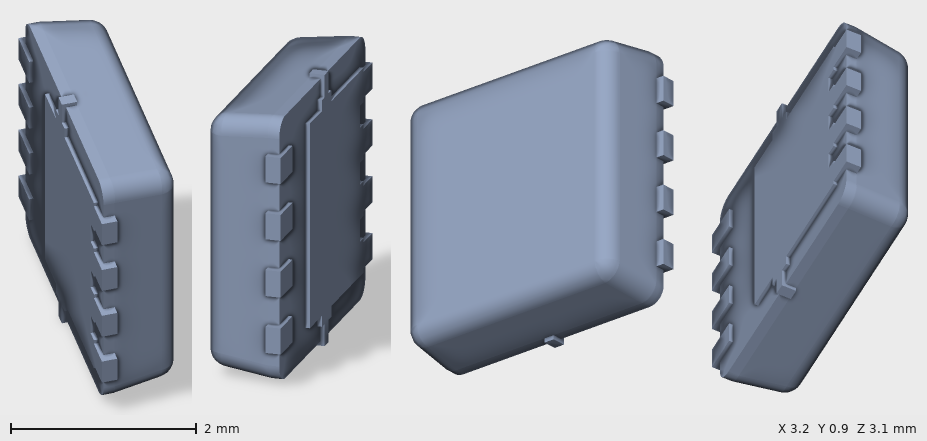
import cadquery as cq

OVERALL_WIDTH = 3.2
TIE_BAR_SPAN = 3.1
OVERALL_DEPTH = 0.9

PACKAGE_SIDE = 3.0
PACKAGE_STANDOFF = 0.048
CORNER_RADIUS = 0.2
BACK_FILLET = 0.2
DRAFT_ANGLE = 6.0

METAL_THICKNESS = 0.173
LEAD_COUNT = 4
LEAD_PITCH = 0.65
LEAD_WIDTH = 0.298
LEAD_LENGTH = 0.41

PAD_LEFT = -0.582
PAD_RIGHT = 1.293
PAD_HEIGHT = 2.34
SHOULDER_WIDTH = 0.33
SHOULDER_SPAN = 2.59
TIE_BAR_WIDTH = 0.128
NOTCH_HEIGHT = 0.253
NOTCH_DEPTH = 0.125

HALF_WIDTH = OVERALL_WIDTH / 2
LEAD_LEVELS = [(i - (LEAD_COUNT - 1) / 2) * LEAD_PITCH for i in range(LEAD_COUNT)]
NOTCH_LEVELS = [(low + high) / 2 for low, high in zip(LEAD_LEVELS, LEAD_LEVELS[1:])]


def metal_block(left, right, height, level=0.0):
    """Flat metal block from left to right in X, centred on the given Z level."""
    return (
        cq.Workplane("XY")
        .box(right - left, METAL_THICKNESS, height, centered=(False, False, True))
        .translate((left, 0, level))
    )


def make_lead(level):
    """Separate terminal on the -X side."""
    return metal_block(-HALF_WIDTH, -HALF_WIDTH + LEAD_LENGTH, LEAD_WIDTH, level)


def make_drain_pad():
    """Large pad with stepped tie bars above and below and four fingers on the +X side."""
    pad = metal_block(PAD_LEFT, PAD_RIGHT, PAD_HEIGHT)
    pad = pad.union(metal_block(-SHOULDER_WIDTH / 2, SHOULDER_WIDTH / 2, SHOULDER_SPAN))
    pad = pad.union(metal_block(-TIE_BAR_WIDTH / 2, TIE_BAR_WIDTH / 2, TIE_BAR_SPAN))
    for level in LEAD_LEVELS:
        pad = pad.union(metal_block(PAD_RIGHT - NOTCH_DEPTH, HALF_WIDTH, LEAD_WIDTH, level))
    for level in NOTCH_LEVELS:
        pad = pad.cut(metal_block(PAD_RIGHT - NOTCH_DEPTH, PAD_RIGHT, NOTCH_HEIGHT, level))
    return pad


def make_package():
    """Moulded package: a straight-sided base band under a drafted cap, before the metal is let in."""
    base = (
        cq.Workplane("XZ", origin=(0, PACKAGE_STANDOFF, 0))
        .rect(PACKAGE_SIDE, PACKAGE_SIDE)
        .extrude(PACKAGE_STANDOFF - METAL_THICKNESS)
    )
    cap = (
        cq.Workplane("XZ", origin=(0, METAL_THICKNESS, 0))
        .rect(PACKAGE_SIDE, PACKAGE_SIDE)
        .extrude(METAL_THICKNESS - OVERALL_DEPTH, taper=DRAFT_ANGLE)
    )
    package = base.union(cap)
    package = package.edges("not(#Y)").fillet(CORNER_RADIUS)
    return package.faces(">Y").edges().fillet(BACK_FILLET)


leads = [make_lead(level) for level in LEAD_LEVELS]
drain_pad = make_drain_pad()

package = make_package().cut(drain_pad)
for lead in leads:
    package = package.cut(lead)

result = cq.Compound.makeCompound(
    [package.solids().val(), drain_pad.val(), *[lead.val() for lead in leads]]
)